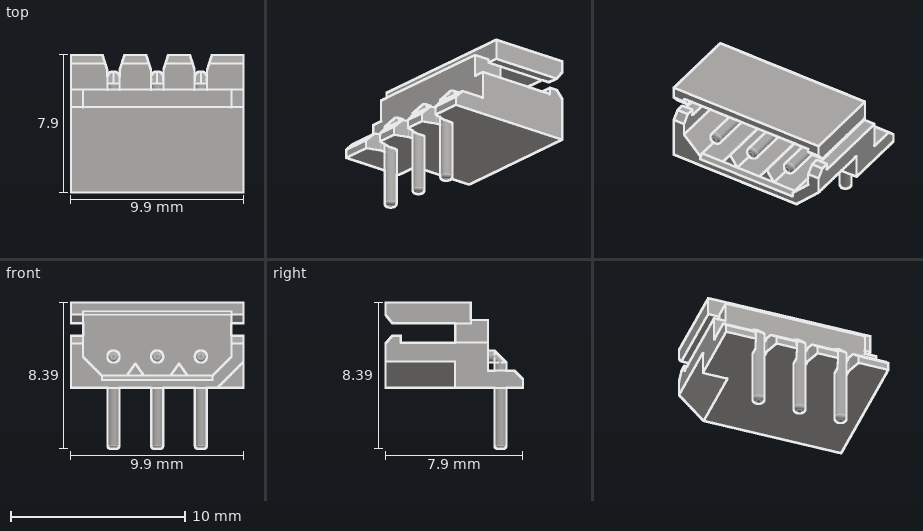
import cadquery as cq


WIDTH = 9.9
DEPTH = 7.9
HEIGHT = 4.9
SHROUD_DEPTH = 5.9
CAVITY_DEPTH = 4.0

SIDE_WALL = 0.7
SIDE_HEIGHT = 2.6
NUB_HEIGHT = 3.0
NUB_DEPTH = 0.9
FRONT_CHAMFER_DEPTH = 0.41
NUB_CHAMFER_HEIGHT = 0.46

FLOOR_TOP = 0.7
CAVITY_CHAMFER = 1.08
SILL_CHAMFER = 0.25
KEY_CHAMFER = 1.5

RIB_WIDTH = 0.99
RIB_HEIGHT = 0.69

BACK_WALL_TOP = 3.9
LID_DEPTH = 4.9
LID_LIP_BOTTOM = 3.7
LID_CHAMFER_HEIGHT = 0.495
LID_ROOF = 4.2
ROOF_CHAMFER = 0.2

FLANGE_HEIGHT = 1.0
FLANGE_CHAMFER = 0.495
SLOT_MOUTH_WIDTH = 1.26
SLOT_FLARE_DEPTH = 0.86

PIN_COUNT = 3
PIN_PITCH = 2.5
PIN_DIAMETER = 0.7
PIN_AXIS_Z = 1.8
PIN_AXIS_Y = 6.6
PIN_TIP_Y = 0.5
PIN_TIP_Z = -3.49
PIN_TIP_FILLET = 0.2

CAVITY_WIDTH = WIDTH - 2 * SIDE_WALL
CAVITY_HALF = CAVITY_WIDTH / 2
PIN_RADIUS = PIN_DIAMETER / 2
BEND_Y = PIN_AXIS_Y - PIN_RADIUS
BEND_Z = PIN_AXIS_Z - PIN_RADIUS


def centred_row(count):
    """X places of a row of features at the pin pitch, centred on X = 0."""
    return [(i - (count - 1) / 2) * PIN_PITCH for i in range(count)]


PIN_XS = centred_row(PIN_COUNT)
RIB_XS = centred_row(PIN_COUNT - 1)


def side_prism(points, width, x=0.0):
    """Prism with a (Y, Z) outline, of the given width along X and centred at x."""
    return cq.Workplane("YZ", origin=(x - width / 2, 0, 0)).polyline(points).close().extrude(width)


def front_prism(points, start_y, end_y):
    """Prism with an (X, Z) outline, running along Y."""
    plane = cq.Workplane("XZ", origin=(0, start_y, 0))
    return plane.polyline(points).close().extrude(start_y - end_y)


def block(width, start_y, end_y, bottom, top):
    """Box centred on X = 0."""
    outline = [(start_y, bottom), (end_y, bottom), (end_y, top), (start_y, top)]
    return side_prism(outline, width)


def make_base():
    """Side walls, floor and rear flange as one solid profile."""
    outline = [
        (0, 0),
        (DEPTH, 0),
        (DEPTH, FLANGE_HEIGHT - FLANGE_CHAMFER),
        (DEPTH - FLANGE_CHAMFER, FLANGE_HEIGHT),
        (SHROUD_DEPTH, FLANGE_HEIGHT),
        (SHROUD_DEPTH, SIDE_HEIGHT),
        (NUB_DEPTH, SIDE_HEIGHT),
        (NUB_DEPTH, NUB_HEIGHT),
        (FRONT_CHAMFER_DEPTH, NUB_HEIGHT),
        (0, NUB_HEIGHT - NUB_CHAMFER_HEIGHT),
    ]
    return side_prism(outline, WIDTH)


def make_cavity():
    """Space between the side walls, with the chamfered front edge of the floor."""
    floor_half = CAVITY_HALF - CAVITY_CHAMFER
    outline = [
        (-floor_half, FLOOR_TOP),
        (floor_half, FLOOR_TOP),
        (CAVITY_HALF, FLOOR_TOP + CAVITY_CHAMFER),
        (CAVITY_HALF, NUB_HEIGHT),
        (-CAVITY_HALF, NUB_HEIGHT),
        (-CAVITY_HALF, FLOOR_TOP + CAVITY_CHAMFER),
    ]
    sill = [(0, FLOOR_TOP - SILL_CHAMFER), (SILL_CHAMFER, FLOOR_TOP), (0, FLOOR_TOP)]
    return front_prism(outline, 0, CAVITY_DEPTH).union(side_prism(sill, 2 * floor_half))


def make_key_chamfer():
    """Corner cut off the shroud along the cavity, so that it mates one way round."""
    half = WIDTH / 2
    corner = [(half - KEY_CHAMFER, 0), (half, 0), (half, KEY_CHAMFER)]
    return front_prism(corner, 0, CAVITY_DEPTH)


def make_rib(x):
    """Triangular rib on the cavity floor, from the sill to the back wall."""
    triangle = [
        (x - RIB_WIDTH / 2, FLOOR_TOP),
        (x + RIB_WIDTH / 2, FLOOR_TOP),
        (x, FLOOR_TOP + RIB_HEIGHT),
    ]
    return front_prism(triangle, SILL_CHAMFER, CAVITY_DEPTH)


def make_lid():
    """Lid with a lip along each side and a shallow recess between the lips."""
    outline = [
        (FRONT_CHAMFER_DEPTH, LID_LIP_BOTTOM),
        (LID_DEPTH, LID_LIP_BOTTOM),
        (LID_DEPTH, HEIGHT),
        (0, HEIGHT),
        (0, LID_LIP_BOTTOM + LID_CHAMFER_HEIGHT),
    ]
    recess = [
        (0, LID_LIP_BOTTOM),
        (CAVITY_DEPTH, LID_LIP_BOTTOM),
        (CAVITY_DEPTH, LID_ROOF),
        (ROOF_CHAMFER, LID_ROOF),
        (0, LID_ROOF + ROOF_CHAMFER),
    ]
    return side_prism(outline, WIDTH).cut(side_prism(recess, CAVITY_WIDTH))


def make_flange_slot(x):
    """Slot through the flange: round around the pin, flared at the rear edge."""
    flare_y = DEPTH - SLOT_FLARE_DEPTH
    slot = (
        cq.Workplane("XY")
        .moveTo(x - PIN_RADIUS, PIN_AXIS_Y)
        .threePointArc((x, BEND_Y), (x + PIN_RADIUS, PIN_AXIS_Y))
        .lineTo(x + PIN_RADIUS, flare_y)
        .lineTo(x + SLOT_MOUTH_WIDTH / 2, DEPTH)
        .lineTo(x - SLOT_MOUTH_WIDTH / 2, DEPTH)
        .lineTo(x - PIN_RADIUS, flare_y)
        .close()
    )
    return slot.extrude(FLANGE_HEIGHT)


def make_pin_hole(x):
    """Hole through the back wall for the horizontal leg of a pin."""
    start = cq.Workplane("XZ", origin=(x, SHROUD_DEPTH, PIN_AXIS_Z))
    return start.circle(PIN_RADIUS).extrude(SHROUD_DEPTH - CAVITY_DEPTH)


def make_housing():
    body = make_base().cut(make_cavity()).cut(make_key_chamfer())
    body = body.union(block(CAVITY_WIDTH, CAVITY_DEPTH, SHROUD_DEPTH, FLOOR_TOP, BACK_WALL_TOP))
    body = body.union(make_lid())
    for x in RIB_XS:
        body = body.union(make_rib(x))
    for x in PIN_XS:
        body = body.cut(make_flange_slot(x)).cut(make_pin_hole(x))
    return body


def make_bend(x):
    """Bend at 45 degrees: a slanted cylinder that meets both legs in full circles."""
    leg_end = cq.Plane(origin=(x, BEND_Y, PIN_AXIS_Z), xDir=(0, 0, 1), normal=(0, 1, 0))
    circle = cq.Workplane(leg_end).circle(PIN_RADIUS).wires().val()
    slope = cq.Vector(0, PIN_DIAMETER, -PIN_DIAMETER)
    slanted = cq.Workplane(obj=cq.Solid.extrudeLinear(circle, [], slope))
    leg_top = cq.Workplane("XY", origin=(x, PIN_AXIS_Y, BEND_Z))
    below = leg_top.circle(2 * PIN_DIAMETER).extrude(-2 * PIN_DIAMETER)
    return slanted.cut(below)


def make_pin(x):
    """Round pin with a horizontal contact leg and a vertical solder leg, both with rounded tips."""
    contact = (
        cq.Workplane("XZ", origin=(x, BEND_Y, PIN_AXIS_Z))
        .circle(PIN_RADIUS)
        .extrude(BEND_Y - PIN_TIP_Y)
        .faces("<Y")
        .edges()
        .fillet(PIN_TIP_FILLET)
    )
    solder = (
        cq.Workplane("XY", origin=(x, PIN_AXIS_Y, PIN_TIP_Z))
        .circle(PIN_RADIUS)
        .extrude(BEND_Z - PIN_TIP_Z)
        .faces("<Z")
        .edges()
        .fillet(PIN_TIP_FILLET)
    )
    return contact.union(make_bend(x)).union(solder)


housing = make_housing()
pins = [make_pin(x) for x in PIN_XS]

result = cq.Compound.makeCompound([housing.solids().val(), *[pin.solids().val() for pin in pins]])